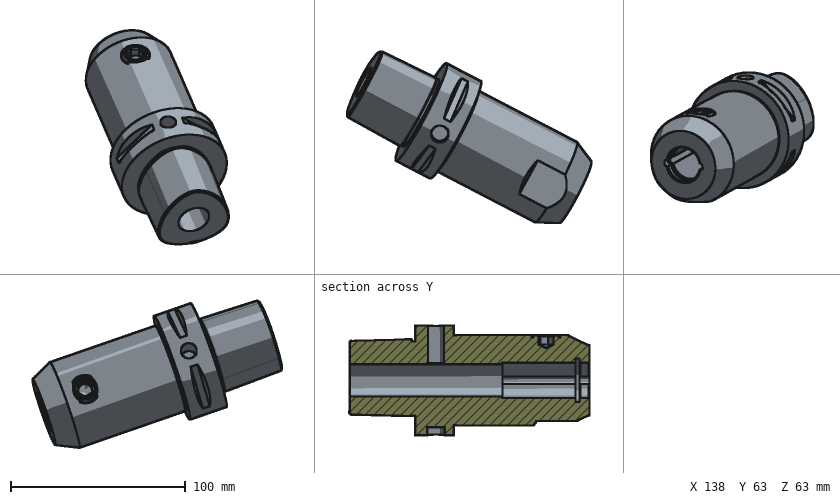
import cadquery as cq
import math


length = 138.0
nose_cone_length = 12.5
relief_start = 76.6
flange_start = 77.8
flange_end = 100.0
shank_start = 102.1
taper_start = 103.0
end_chamfer_start = 136.8
orientation_tab_height = 0.4
shank_end = length - orientation_tab_height

nose_diameter = 40.0
body_diameter = 52.0
relief_diameter = 51.6
flange_diameter = 63.0

bore_diameter = 18.4
socket_diameter = 20.0
socket_depth = 50.0
socket_entry_chamfer = 0.7
recess_diameter = 24.8
recess_start = 6.0
recess_end = 8.0
recess_edge_chamfer = 0.5
coolant_groove_diameter = 4.1
coolant_groove_offset = 10.0

flat_height = -23.5
flat_end = 30.4
flat_ramp_length = 2.0

screw_x = 25.0
screw_diameter = 16.0
screw_top_diameter = 13.0
countersink_diameter = 13.8
countersink_depth = 1.4
screw_top_z = body_diameter / 2
screw_bottom_z = socket_diameter / 2
hex_across_flats = 8.0
hex_depth = 5.5
hex_angle = 15.0
hex_side_count = 6
hex_rim_diameter = 10.9
hex_rim_depth = 0.8
hex_drill_point_depth = 2.0

flange_feature_x = 88.0
groove_floor_width = 4.1
groove_mouth_width = 7.7
groove_count = 4
groove_floor_radius = 27.7
locating_hole_diameter = 9.0
locating_hole_floor_diameter = 20.0
chip_hole_diameter = 10.0
chip_hole_depth = 4.5

lobe_count = 3
shank_mean_radius = 22.1
neck_mean_radius = 22.0
end_mean_radius = 21.3
lobe_height = 1.5
points_per_lobe = 12
end_chamfer = 0.8
relief_groove_radius = 22.5
relief_groove_end = 101.5

tab_width = 4.1
tab_thickness = 0.7
tab_z = -18.4


def cylinder_along_x(diameter, start, end):
    return cq.Workplane("YZ", origin=(start, 0, 0)).circle(diameter / 2).extrude(end - start)


def cylinder_along_z(diameter, x, bottom, top):
    return cq.Workplane("XY", origin=(x, 0, bottom)).circle(diameter / 2).extrude(top - bottom)


def revolve_about_x(points):
    """Revolve a closed outline of (x, radius) points about the X axis."""
    return cq.Workplane("XY").polyline(points).close().revolve(360, (0, 0, 0), (1, 0, 0))


def turned_body():
    return revolve_about_x([
        (0, 0),
        (0, nose_diameter / 2),
        (nose_cone_length, body_diameter / 2),
        (relief_start, body_diameter / 2),
        (relief_start, relief_diameter / 2),
        (flange_start, relief_diameter / 2),
        (flange_start, flange_diameter / 2),
        (flange_end, flange_diameter / 2),
        (flange_end, 0),
    ])


def lobed_point(x, mean_radius, angle):
    """Point on a constant-width curve whose lobes start at +Z; its support distance
    is mean_radius + lobe_height * cos(lobe_count * angle)."""
    support = mean_radius + lobe_height * math.cos(lobe_count * angle)
    slope = -lobe_count * lobe_height * math.sin(lobe_count * angle)
    y = support * math.sin(angle) + slope * math.cos(angle)
    z = support * math.cos(angle) - slope * math.sin(angle)
    return cq.Vector(x, y, z)


def lobed_wire(x, mean_radius):
    """Closed section of the shank, one spline per lobe, joined midway between lobes."""
    lobe_angle = 2 * math.pi / lobe_count
    edges = []
    for lobe in range(lobe_count):
        start = (lobe - 0.5) * lobe_angle
        angles = [start + lobe_angle * i / points_per_lobe for i in range(points_per_lobe + 1)]
        points = [lobed_point(x, mean_radius, angle) for angle in angles]
        tangents = [cq.Vector(0, math.cos(a), -math.sin(a)) for a in (angles[0], angles[-1])]
        edges.append(cq.Edge.makeSpline(points, tangents=tangents))
    return cq.Wire.assembleEdges(edges)


def lobed_solid(start, start_radius, end, end_radius):
    wires = [lobed_wire(start, start_radius), lobed_wire(end, end_radius)]
    return cq.Workplane(cq.Solid.makeLoft(wires, True))


def polygon_shank():
    neck = lobed_solid(flange_end, neck_mean_radius, shank_start, neck_mean_radius)
    relief_ring = revolve_about_x([
        (flange_end, relief_groove_radius),
        (relief_groove_end, relief_groove_radius),
        (shank_start, shank_mean_radius + lobe_height),
        (shank_start, flange_diameter / 2),
        (flange_end, flange_diameter / 2),
    ])
    shank = neck.cut(relief_ring)
    shank = shank.union(lobed_solid(shank_start, shank_mean_radius, taper_start, shank_mean_radius))
    shank = shank.union(lobed_solid(taper_start, shank_mean_radius, end_chamfer_start, end_mean_radius))
    tip_radius = end_mean_radius - end_chamfer
    return shank.union(lobed_solid(end_chamfer_start, end_mean_radius, shank_end, tip_radius))


def orientation_tab():
    tab = cq.Workplane("YZ", origin=(shank_end, 0, tab_z))
    return tab.rect(tab_width, tab_thickness).extrude(orientation_tab_height)


def tool_socket():
    """Tool seat with a ring recess near its mouth and a coolant groove on each side."""
    radius = socket_diameter / 2
    socket = revolve_about_x([
        (0, 0),
        (0, radius + socket_entry_chamfer),
        (socket_entry_chamfer, radius),
        (recess_start - recess_edge_chamfer, radius),
        (recess_start, radius + recess_edge_chamfer),
        (recess_start, recess_diameter / 2),
        (recess_end, recess_diameter / 2),
        (recess_end, radius),
        (socket_depth, radius),
        (socket_depth, 0),
    ])
    for side in (-1, 1):
        groove = cylinder_along_x(coolant_groove_diameter, 0, socket_depth)
        socket = socket.union(groove.translate((0, side * coolant_groove_offset, 0)))
    return socket


def balancing_flat():
    """Material below the flat, with a sloped end toward the flange."""
    below = -flange_diameter / 2
    ramp_end_z = -body_diameter / 2
    ramp_end_x = flat_end + flat_ramp_length
    outline = [
        (0, flat_height),
        (flat_end, flat_height),
        (ramp_end_x, ramp_end_z),
        (ramp_end_x, below),
        (0, below),
    ]
    return cq.Workplane("XZ").polyline(outline).close().extrude(flange_diameter / 2, both=True)


def screw_countersink():
    """Conical mouth of the screw hole, widening inward, around the chamfered screw."""
    return cq.Solid.makeCone(
        countersink_diameter / 2 + countersink_depth, countersink_diameter / 2, countersink_depth,
        pnt=cq.Vector(screw_x, 0, screw_top_z - countersink_depth),
    )


def clamping_screw():
    chamfer = (screw_diameter - screw_top_diameter) / 2
    screw = cylinder_along_z(screw_diameter, screw_x, screw_bottom_z, screw_top_z)
    return screw.faces(">Z").chamfer(chamfer)


def hex_socket():
    hex_diameter = hex_across_flats / math.cos(math.pi / hex_side_count)
    socket = (
        cq.Workplane("XY", origin=(screw_x, 0, screw_top_z))
        .transformed(rotate=(0, 0, hex_angle))
        .polygon(hex_side_count, hex_diameter)
        .extrude(-hex_depth)
    )
    rim = cq.Solid.makeCone(
        hex_across_flats / 2, hex_rim_diameter / 2, hex_rim_depth,
        pnt=cq.Vector(screw_x, 0, screw_top_z - hex_rim_depth),
    )
    drill_point = cq.Solid.makeCone(
        0, hex_across_flats / 2, hex_drill_point_depth,
        pnt=cq.Vector(screw_x, 0, screw_top_z - hex_depth - hex_drill_point_depth),
    )
    return socket.union(cq.Workplane(rim)).union(cq.Workplane(drill_point))


def gripper_grooves():
    """Four V-grooves with flat floors, midway between the Y and Z axes."""
    depth = flange_diameter / 2 - groove_floor_radius
    flare = (groove_mouth_width - groove_floor_width) / 2
    floor = groove_floor_width / 2
    outline = [
        (flange_feature_x - floor, groove_floor_radius),
        (flange_feature_x + floor, groove_floor_radius),
        (flange_feature_x + floor + flare, groove_floor_radius + depth),
        (flange_feature_x - floor - flare, groove_floor_radius + depth),
    ]
    groove = cq.Workplane("XZ").polyline(outline).close().extrude(flange_diameter / 2, both=True)
    grooves = cq.Workplane()
    pitch = 360 / groove_count
    for index in range(groove_count):
        angle = (index + 0.5) * pitch
        grooves = grooves.add(groove.rotate((0, 0, 0), (1, 0, 0), angle))
    return grooves.combine()


def locating_hole():
    """Radial hole at +Z with a cylindrical floor concentric with the bore."""
    hole = cylinder_along_z(locating_hole_diameter, flange_feature_x, 0, flange_diameter / 2)
    return hole.cut(cylinder_along_x(locating_hole_floor_diameter, flange_start, flange_end))


def chip_hole():
    """Shallow round pocket at -Z."""
    bottom = -flange_diameter / 2
    return cylinder_along_z(chip_hole_diameter, flange_feature_x, bottom, bottom + chip_hole_depth)


bore = cylinder_along_x(bore_diameter, 0, length)

result = (
    turned_body()
    .union(polygon_shank())
    .union(orientation_tab())
    .cut(cq.Workplane(screw_countersink()))
    .union(clamping_screw())
    .cut(hex_socket())
    .cut(bore)
    .cut(tool_socket())
    .cut(balancing_flat())
    .cut(gripper_grooves())
    .cut(locating_hole())
    .cut(chip_hole())
)